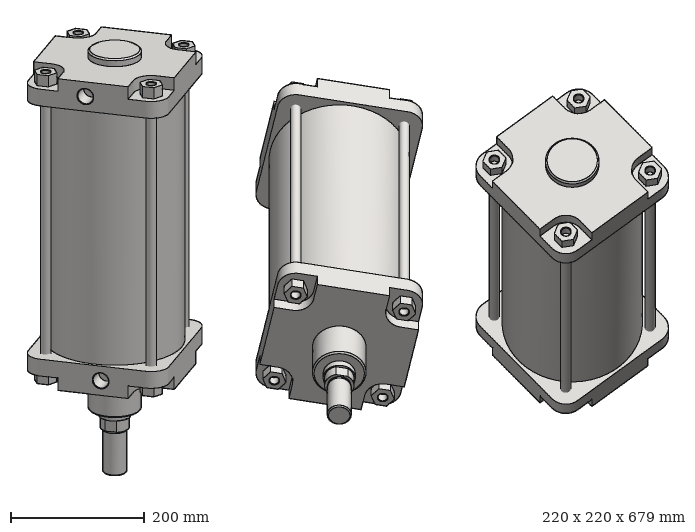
import math

import cadquery as cq

cap_width = 220.0
cap_height = 47.0
barrel_length = 407.0
rear_face_z = 2 * cap_height + barrel_length
barrel_diameter = 210.0

corner_radius = 27.5
rod_offset = cap_width / 2 - corner_radius
pocket_size = 2 * corner_radius
pocket_depth = 20.0
boss_diameter = 80.0
boss_chamfer = 2.5
front_boss_length = 64.0
rear_boss_length = 12.0

port_diameter = 24.0
port_chamfer = 1.0
port_depth = 30.0
port_offset = 12.0

tie_rod_diameter = 16.0
nut_across_flats = 30.5
nut_across_corners = nut_across_flats / math.cos(math.radians(30))
nut_height = 18.0
socket_diameter = 14.0
socket_depth = 16.0
socket_chamfer = 1.0

collar_diameter = 48.0
collar_length = 11.0
wrench_diameter = 44.0
wrench_flat_width = 40.0
wrench_length = 19.0
thread_diameter = 36.0
thread_length = 68.5
thread_chamfer = 2.0
neck_diameter = 35.0
neck_length = 3.5
collar_top_z = -front_boss_length
wrench_top_z = collar_top_z - collar_length
neck_top_z = wrench_top_z - wrench_length
thread_top_z = neck_top_z - neck_length


def make_cylinder(base_z, diameter, length):
    """Cylinder on the Z axis; a negative length runs downwards."""
    return cq.Workplane("XY", origin=(0, 0, base_z)).circle(diameter / 2).extrude(length)


def make_hole_cutter(diameter, depth, chamfer):
    """Cutter for a blind hole with a chamfered mouth at the origin, running into the -Z half space."""
    hole = cq.Workplane("XY").circle(diameter / 2).extrude(-depth)
    mouth = (
        cq.Workplane("XY")
        .circle(diameter / 2 + chamfer)
        .workplane(offset=-chamfer)
        .circle(diameter / 2)
        .loft()
    )
    return hole.union(mouth)


def make_cap(outer_face_z, direction, boss_length, port_x):
    """End cap whose outer face looks along direction (+1 is up, -1 is down)."""
    outer_face = cq.Workplane("XY", origin=(0, 0, outer_face_z))
    cap = outer_face.rect(cap_width, cap_width).extrude(-direction * cap_height)
    cap = cap.edges("|Z").fillet(corner_radius)

    for x_side in (-1, 1):
        for y_side in (-1, 1):
            pocket = (
                outer_face.center(x_side * cap_width / 2, y_side * cap_width / 2)
                .rect(2 * pocket_size, 2 * pocket_size)
                .extrude(-direction * pocket_depth)
                .edges("|Z")
                .fillet(corner_radius)
            )
            cap = cap.cut(pocket)

    rim = ">Z" if direction > 0 else "<Z"
    boss = make_cylinder(outer_face_z, boss_diameter, direction * boss_length)
    cap = cap.union(boss.faces(rim).chamfer(boss_chamfer))

    holes = (
        outer_face.rect(2 * rod_offset, 2 * rod_offset, forConstruction=True)
        .circle(tie_rod_diameter / 2)
        .extrude(-direction * cap_height)
    )
    cap = cap.cut(holes)

    port_z = outer_face_z - direction * cap_height / 2
    port = (
        make_hole_cutter(port_diameter, port_depth, port_chamfer)
        .rotate((0, 0, 0), (1, 0, 0), 90)
        .translate((port_x, -cap_width / 2, port_z))
    )
    return cap.cut(port)


def make_barrel():
    """Cylinder barrel between the two caps."""
    return make_cylinder(cap_height, barrel_diameter, barrel_length)


def make_tie_rod(x, y):
    """Tie rod with a hexagon nut seated in the pocket of each cap and a socket in each end."""
    mid_z = rear_face_z / 2
    grip_half = mid_z - pocket_depth
    nut = cq.Workplane("XY", origin=(0, 0, grip_half)).polygon(6, nut_across_corners).extrude(nut_height)
    socket = make_hole_cutter(socket_diameter, socket_depth, socket_chamfer)
    socket = socket.translate((0, 0, grip_half + nut_height))

    tie_rod = make_cylinder(-grip_half, tie_rod_diameter, 2 * grip_half)
    tie_rod = tie_rod.union(nut).union(nut.mirror("XY"))
    tie_rod = tie_rod.cut(socket).cut(socket.mirror("XY"))
    return tie_rod.translate((x, y, mid_z))


def make_piston_rod():
    """Stepped rod end below the front boss: collar, wrench flats, neck and threaded end."""
    collar = make_cylinder(collar_top_z, collar_diameter, -collar_length)

    flats = (
        cq.Workplane("XY", origin=(0, 0, wrench_top_z))
        .rect(wrench_diameter, wrench_flat_width)
        .extrude(-wrench_length)
    )
    wrench_section = make_cylinder(wrench_top_z, wrench_diameter, -wrench_length).intersect(flats)

    neck = make_cylinder(neck_top_z, neck_diameter, -neck_length)
    thread = make_cylinder(thread_top_z, thread_diameter, -thread_length)
    thread = thread.faces("<Z").chamfer(thread_chamfer)
    return collar.union(wrench_section).union(neck).union(thread)


front_cap = make_cap(0, -1, front_boss_length, port_offset)
rear_cap = make_cap(rear_face_z, 1, rear_boss_length, -port_offset)
barrel = make_barrel()
piston_rod = make_piston_rod()
tie_rods = [
    make_tie_rod(x_side * rod_offset, y_side * rod_offset)
    for x_side in (-1, 1)
    for y_side in (-1, 1)
]

result = cq.Compound.makeCompound(
    [front_cap.val(), rear_cap.val(), barrel.val(), piston_rod.val()]
    + [tie_rod.val() for tie_rod in tie_rods]
)